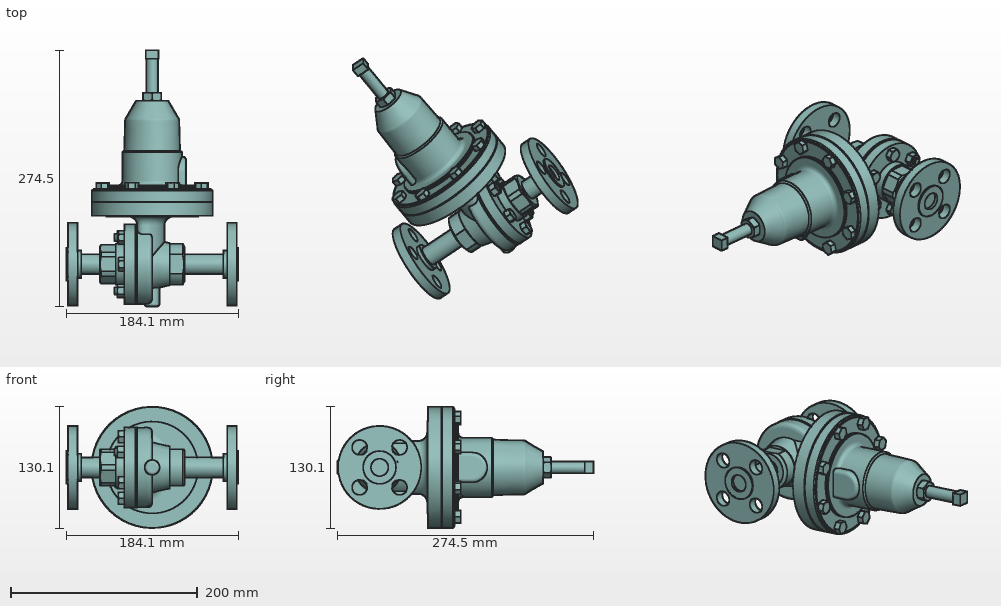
import cadquery as cq
import math


HEX_SIDES = 6

FACE_LEFT_X = -91.85
FACE_RIGHT_X = 92.3
FACE_RADIUS = 17.6
FACE_HEIGHT = 1.55
FLANGE_RADIUS = 44.55
FLANGE_THICKNESS = 10.4
FLANGE_HUB_RADIUS = 14.9
FLANGE_HUB_LENGTH = 4.1
FLANGE_BOLT_CIRCLE_RADIUS = 30.3
FLANGE_BOLT_HOLE_DIAMETER = 16.0
FLANGE_HOLE_COUNT = 4
FLANGE_FIRST_HOLE_ANGLE = 45
PIPE_RADIUS = 10.8
SOCKET_DIAMETER = 18.6
SOCKET_DEPTH = 3.5

UNION_START_X = -56.2
UNION_END_X = -39.0
UNION_ACROSS_FLATS = 38.8
UNION_CORNER_RADIUS = 20.9
COLLAR_RADIUS = 21.9

BODY_START_X = -29.8
BODY_JOINT_X = -17.7
BODY_END_X = 0.0
BODY_RADIUS = 43.0
BODY_FILLET = 5.0
OUTLET_HALF_START_X = -16.0
OUTLET_HALF_RADIUS = 42.75
CONE_START_RADIUS = 27.0
CONE_END_RADIUS = 22.6
CONE_END_X = 19.0
OUTLET_END_X = 34.7
OUTLET_RADIUS = 22.1
OUTLET_ACROSS_FLATS = 39.0
OUTLET_CHAMFER_LENGTH = 2.0
OUTLET_CHAMFER_HEIGHT = 4.0
UNION_CHAMFER_LENGTH = 1.5
UNION_CHAMFER_HEIGHT = 2.4
JOINT_GAP = 0.7
JOINT_DEPTH = 0.5

DRAIN_RADIUS = 8.0
DRAIN_TIP_Y = -45.45
DRAIN_FILLET = 3.0

BODY_BOLT_COUNT = 6
BODY_BOLT_CIRCLE_RADIUS = 33.0
STUD_POSITIONS = (2, 5)
STUD_RADIUS = 4.1
STUD_LENGTH = 10.8
STUD_NUT_HEIGHT = 7.6
HEX_ACROSS_FLATS = 12.7
BOLT_HEAD_HEIGHT = 6.4
BOLT_CHAMFER = 0.8

NECK_LEFT_X = -16.0
NECK_ARC_CENTER_X = -18.0
NECK_ARC_RADIUS = 31.4
NECK_BLEND_RADIUS = 12.0
NECK_HALF_WIDTH = 28.5
NECK_CORNER_RADIUS = 6.5
NECK_FILLET = 9.0

EDGE_MARGIN = 0.1

CASE_PAD_Y = 50.8
CASE_PAD_RADIUS = 49.2
CASE_BOTTOM_Y = 51.7
CASE_JOINT_Y = 66.6
CASE_TOP_Y = 80.6
CASE_RADIUS = 65.03
CASE_RIM_Y = 79.9
CASE_STEP_RADIUS = 62.5
CASE_CHAMFER = 1.4
CASE_BOLT_COUNT = 8
CASE_BOLT_CIRCLE_RADIUS = 57.15
CASE_BOLT_TURN = 7.5
CASE_BOLT_HEAD_HEIGHT = 6.4

COVER_RADIUS = 45.7
COVER_TOP_Y = 84.4
COVER_JOINT_Y = 82.4
BONNET_RADIUS = 32.0
BONNET_BASE_FILLET = 4.5
BONNET_SHOULDER_Y = 121.6
BONNET_SHOULDER_RADIUS = 30.0
BONNET_SHOULDER_CHAMFER = 1.7
BONNET_TAPER_END_Y = 153.9
BONNET_TAPER_END_RADIUS = 29.1
BONNET_CONE_START_Y = 157.0
BONNET_CONE_START_RADIUS = 27.8
BONNET_TOP_Y = 175.0
BONNET_TOP_RADIUS = 17.3

VENT_FACE_X = 36.4
VENT_AXIS_Y = 99.2
VENT_RADIUS = 16.0
VENT_FILLET = 4.0

LOCK_NUT_TOP_Y = 183.7
LOCK_NUT_ACROSS_FLATS = 19.6
LOCK_NUT_CHAMFER = 1.0
SCREW_RADIUS = 6.4
SCREW_HEAD_Y = 219.7
SCREW_TOP_Y = 229.04
SCREW_HEAD_X = 13.8
SCREW_HEAD_Z = 12.8


def x_disc(start, end, radius):
    """Cylinder around the X axis."""
    return cq.Workplane("YZ", origin=(start, 0, 0)).circle(radius).extrude(end - start)


def y_disc(start, end, radius):
    """Cylinder around the Y axis."""
    return cq.Workplane("XZ", origin=(0, start, 0)).circle(radius).extrude(start - end)


def box_around_axis(reach, low_y, high_y):
    """Selects what has its centre within reach of the bonnet axis, between two heights."""
    return cq.selectors.BoxSelector((-reach, low_y, -reach), (reach, high_y, reach))


def corner_diameter(across_flats):
    """Diameter of the circle through the corners of a hexagon."""
    return across_flats / math.cos(math.pi / HEX_SIDES)


def pipe_flange(face_x, inward):
    """Raised-face flange with hub; inward is +1 or -1 along X, towards the body."""
    back_of_face = face_x + inward * FACE_HEIGHT
    back_of_plate = back_of_face + inward * FLANGE_THICKNESS
    flange = x_disc(face_x, back_of_face, FACE_RADIUS)
    plate = x_disc(back_of_face, back_of_plate, FLANGE_RADIUS)
    holes = (
        cq.Workplane("YZ", origin=(back_of_face, 0, 0))
        .polarArray(FLANGE_BOLT_CIRCLE_RADIUS, FLANGE_FIRST_HOLE_ANGLE, 360, FLANGE_HOLE_COUNT)
        .circle(FLANGE_BOLT_HOLE_DIAMETER / 2)
        .extrude(inward * FLANGE_THICKNESS)
    )
    hub = x_disc(back_of_plate, back_of_plate + inward * FLANGE_HUB_LENGTH, FLANGE_HUB_RADIUS)
    return flange.union(plate.cut(holes)).union(hub)


def pipe_line():
    """Both flanges joined by the pipe, with a shallow socket in each face."""
    line = x_disc(FACE_LEFT_X, FACE_RIGHT_X, PIPE_RADIUS)
    for face_x, inward in ((FACE_LEFT_X, 1), (FACE_RIGHT_X, -1)):
        line = line.union(pipe_flange(face_x, inward))
        line = line.cut(x_disc(face_x, face_x + inward * SOCKET_DEPTH, SOCKET_DIAMETER / 2))
    return line


def union_nut():
    """Hexagon with its corners turned down and its outer end chamfered."""
    length = UNION_END_X - UNION_START_X
    hexagon = (
        cq.Workplane("YZ", origin=(UNION_START_X, 0, 0))
        .polygon(HEX_SIDES, corner_diameter(UNION_ACROSS_FLATS))
        .extrude(length)
    )
    turned = x_disc(UNION_START_X, UNION_END_X, UNION_CORNER_RADIUS)
    turned = turned.faces("<X").chamfer(UNION_CHAMFER_LENGTH, UNION_CHAMFER_HEIGHT)
    return hexagon.intersect(turned)


def outlet_boss():
    """Round boss with a flat on its top and bottom and a chamfered outer end."""
    profile = [
        (CONE_END_X, 0),
        (CONE_END_X, OUTLET_RADIUS),
        (OUTLET_END_X - OUTLET_CHAMFER_LENGTH, OUTLET_RADIUS),
        (OUTLET_END_X, OUTLET_RADIUS - OUTLET_CHAMFER_HEIGHT),
        (OUTLET_END_X, 0),
    ]
    boss = cq.Workplane("XY").polyline(profile).close().revolve(360, (0, 0, 0), (1, 0, 0))
    flats = cq.Workplane("XY").box(2 * OUTLET_END_X, 2 * OUTLET_RADIUS, OUTLET_ACROSS_FLATS)
    return boss.intersect(flats)


def valve_body():
    """Round two-part body, its outlet cone and the parts on either end."""
    outlet_half = x_disc(OUTLET_HALF_START_X, BODY_END_X, OUTLET_HALF_RADIUS)
    outlet_half = outlet_half.faces(">X").edges().fillet(BODY_FILLET)
    rim = x_disc(BODY_START_X, OUTLET_HALF_START_X, BODY_RADIUS).union(outlet_half)
    joint = x_disc(BODY_JOINT_X - JOINT_GAP / 2, BODY_JOINT_X + JOINT_GAP / 2, BODY_RADIUS)
    rim = rim.cut(joint.cut(x_disc(BODY_START_X, BODY_END_X, BODY_RADIUS - JOINT_DEPTH)))
    cone_profile = [
        (BODY_END_X, 0),
        (BODY_END_X, CONE_START_RADIUS),
        (CONE_END_X, CONE_END_RADIUS),
        (CONE_END_X, 0),
    ]
    cone = cq.Workplane("XY").polyline(cone_profile).close().revolve(360, (0, 0, 0), (1, 0, 0))
    collar = x_disc(UNION_END_X, BODY_START_X, COLLAR_RADIUS)
    drain = y_disc(0, DRAIN_TIP_Y, DRAIN_RADIUS).faces("<Y").edges().fillet(DRAIN_FILLET)
    body = rim.union(cone).union(outlet_boss()).union(collar).union(union_nut())
    return body.union(drain)


def body_bolts():
    """Six fasteners on the inlet face: four bolt heads, and two studs with nuts."""
    corners = corner_diameter(HEX_ACROSS_FLATS)
    bolts = cq.Workplane("XY")
    for index in range(BODY_BOLT_COUNT):
        angle = math.radians((index + 0.5) * 360 / BODY_BOLT_COUNT)
        y = BODY_BOLT_CIRCLE_RADIUS * math.cos(angle)
        z = BODY_BOLT_CIRCLE_RADIUS * math.sin(angle)
        is_stud = index in STUD_POSITIONS
        height = STUD_NUT_HEIGHT if is_stud else BOLT_HEAD_HEIGHT
        base = cq.Workplane("YZ", origin=(BODY_START_X, y, z))
        turned = base.circle(corners / 2).extrude(-height).faces("<X").chamfer(BOLT_CHAMFER)
        bolts = bolts.union(base.polygon(HEX_SIDES, corners).extrude(-height).intersect(turned))
        if is_stud:
            stud = base.circle(STUD_RADIUS).extrude(-STUD_LENGTH)
            bolts = bolts.union(stud.faces("<X").chamfer(BOLT_CHAMFER))
    return bolts


def neck():
    """Post from the body to the case: flat inlet side, bulged outlet side, rounded corners."""
    arc_reach = math.sqrt(NECK_ARC_RADIUS**2 - NECK_HALF_WIDTH**2)
    arc_end_x = NECK_ARC_CENTER_X + arc_reach
    arc_middle_x = NECK_ARC_CENTER_X + NECK_ARC_RADIUS
    post = (
        cq.Workplane("XZ")
        .moveTo(NECK_LEFT_X, -NECK_HALF_WIDTH)
        .lineTo(arc_end_x, -NECK_HALF_WIDTH)
        .threePointArc((arc_middle_x, 0), (arc_end_x, NECK_HALF_WIDTH))
        .lineTo(NECK_LEFT_X, NECK_HALF_WIDTH)
        .close()
        .extrude(-CASE_PAD_Y)
    )
    post = post.edges("|Y").edges(">X").fillet(NECK_BLEND_RADIUS)
    return post.edges("|Y and <X").fillet(NECK_CORNER_RADIUS)


def case_and_neck():
    """Diaphragm case on its neck, blended where they meet."""
    case = y_disc(CASE_BOTTOM_Y, CASE_RIM_Y, CASE_RADIUS).faces(">Y").chamfer(CASE_CHAMFER)
    case = case.union(y_disc(CASE_RIM_Y, CASE_TOP_Y, CASE_STEP_RADIUS))
    joint = y_disc(CASE_JOINT_Y - JOINT_GAP / 2, CASE_JOINT_Y + JOINT_GAP / 2, CASE_RADIUS)
    case = case.cut(joint.cut(y_disc(CASE_BOTTOM_Y, CASE_TOP_Y, CASE_RADIUS - JOINT_DEPTH)))
    case = case.union(y_disc(CASE_PAD_Y, CASE_BOTTOM_Y, CASE_PAD_RADIUS))
    joined = case.union(neck())
    low_y = CASE_PAD_Y - EDGE_MARGIN
    high_y = CASE_PAD_Y + EDGE_MARGIN
    pad_plane = box_around_axis(NECK_HALF_WIDTH + EDGE_MARGIN, low_y, high_y)
    pad_rim = box_around_axis(EDGE_MARGIN, low_y, high_y)
    return joined.edges(pad_plane - pad_rim).fillet(NECK_FILLET)


def case_bolts():
    """Ring of hexagon heads on top of the case."""
    bolts = cq.Workplane("XY")
    head = (
        cq.Workplane("XZ", origin=(0, CASE_TOP_Y, 0))
        .polygon(HEX_SIDES, corner_diameter(HEX_ACROSS_FLATS))
        .extrude(-CASE_BOLT_HEAD_HEIGHT)
        .rotate((0, 0, 0), (0, 1, 0), -CASE_BOLT_TURN)
        .translate((CASE_BOLT_CIRCLE_RADIUS, 0, 0))
    )
    step = 360 / CASE_BOLT_COUNT
    for index in range(CASE_BOLT_COUNT):
        bolts = bolts.union(head.rotate((0, 0, 0), (0, 1, 0), (index + 0.5) * step))
    return bolts


def bonnet():
    """Turned bonnet standing on the case, with a vent boss on its outlet side."""
    joint_low = COVER_JOINT_Y - JOINT_GAP / 2
    joint_high = COVER_JOINT_Y + JOINT_GAP / 2
    turned = (
        cq.Workplane("XY")
        .moveTo(0, CASE_TOP_Y)
        .lineTo(COVER_RADIUS, CASE_TOP_Y)
        .lineTo(COVER_RADIUS, joint_low)
        .lineTo(COVER_RADIUS - JOINT_DEPTH, joint_low)
        .lineTo(COVER_RADIUS - JOINT_DEPTH, joint_high)
        .lineTo(COVER_RADIUS, joint_high)
        .lineTo(COVER_RADIUS, COVER_TOP_Y)
        .lineTo(BONNET_RADIUS + BONNET_BASE_FILLET, COVER_TOP_Y)
        .radiusArc((BONNET_RADIUS, COVER_TOP_Y + BONNET_BASE_FILLET), BONNET_BASE_FILLET)
        .lineTo(BONNET_RADIUS, BONNET_SHOULDER_Y - BONNET_SHOULDER_CHAMFER)
        .lineTo(BONNET_SHOULDER_RADIUS, BONNET_SHOULDER_Y)
        .lineTo(BONNET_TAPER_END_RADIUS, BONNET_TAPER_END_Y)
        .tangentArcPoint((BONNET_CONE_START_RADIUS, BONNET_CONE_START_Y), relative=False)
        .lineTo(BONNET_TOP_RADIUS, BONNET_TOP_Y)
        .lineTo(0, BONNET_TOP_Y)
        .close()
        .revolve(360, (0, 0, 0), (0, 1, 0))
    )
    vent = (
        cq.Workplane("YZ")
        .moveTo(CASE_TOP_Y, -VENT_RADIUS)
        .lineTo(VENT_AXIS_Y, -VENT_RADIUS)
        .threePointArc((VENT_AXIS_Y + VENT_RADIUS, 0), (VENT_AXIS_Y, VENT_RADIUS))
        .lineTo(CASE_TOP_Y, VENT_RADIUS)
        .close()
        .extrude(VENT_FACE_X)
        .faces(">X")
        .edges("not <Y")
        .fillet(VENT_FILLET)
    )
    return turned.union(vent)


def adjusting_screw():
    """Lock nut, round stem and rectangular head on top of the bonnet."""
    nut_height = LOCK_NUT_TOP_Y - BONNET_TOP_Y
    nut_corners = corner_diameter(LOCK_NUT_ACROSS_FLATS)
    nut = (
        cq.Workplane("XZ", origin=(0, BONNET_TOP_Y, 0))
        .transformed(rotate=(0, 0, 90))
        .polygon(HEX_SIDES, nut_corners)
        .extrude(-nut_height)
    )
    turned = y_disc(BONNET_TOP_Y, LOCK_NUT_TOP_Y, nut_corners / 2)
    nut = nut.intersect(turned.faces("<Y or >Y").chamfer(LOCK_NUT_CHAMFER))
    head_length = SCREW_TOP_Y - SCREW_HEAD_Y
    head = cq.Workplane("XZ", origin=(0, SCREW_HEAD_Y, 0)).rect(SCREW_HEAD_X, SCREW_HEAD_Z)
    stem = y_disc(BONNET_TOP_Y, SCREW_HEAD_Y, SCREW_RADIUS)
    return nut.union(stem).union(head.extrude(-head_length))


result = case_and_neck().union(valve_body()).union(pipe_line()).union(body_bolts())
result = result.union(bonnet()).union(case_bolts()).union(adjusting_screw())